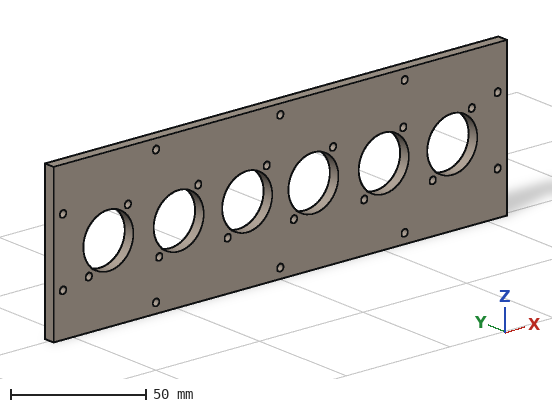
import cadquery as cq

length = 219.0
thickness = 5.0
height = 69.0

screw_diameter = 3.0
edge_screw_x = 60.0
edge_screw_z = 30.0
end_screw_x = 105.0
end_screw_z = edge_screw_z / 2

opening_diameter = 24.0
opening_row_z = -0.5
opening_centers_x = [-83.0, -49.0, -16.0, 16.0, 50.0, 83.0]
connector_screw_dx = 9.5
connector_screw_dz = 12.0


def drill(plate, points, diameter):
    """Cut through holes along Y at the given (x, z) points."""
    cutters = (
        cq.Workplane("XZ", origin=(0, thickness, 0))
        .pushPoints(points)
        .circle(diameter / 2)
        .extrude(2 * thickness)
    )
    return plate.cut(cutters)


edge_screws = [
    (x, z)
    for x in (-edge_screw_x, 0, edge_screw_x)
    for z in (-edge_screw_z, edge_screw_z)
]
end_screws = [
    (x, z)
    for x in (-end_screw_x, end_screw_x)
    for z in (-end_screw_z, end_screw_z)
]
openings = [(x, opening_row_z) for x in opening_centers_x]
connector_screws = [
    (x + side * connector_screw_dx, z + side * connector_screw_dz)
    for x, z in openings
    for side in (-1, 1)
]

result = cq.Workplane("XY").box(length, thickness, height)
result = drill(result, openings, opening_diameter)
result = drill(result, edge_screws + end_screws + connector_screws, screw_diameter)